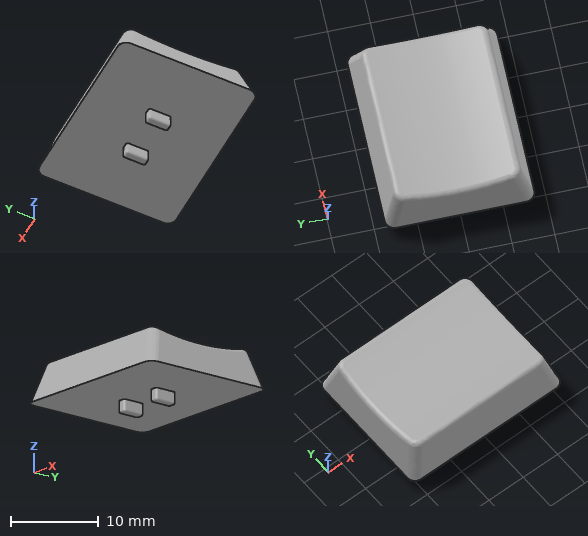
import cadquery as cq
import math

length = 22.0
width = 17.5
leg_height = 1.5
wall_draft = 16.0
corner_radius = 1.2
rim_radius = 0.65

dish_radius = 28.6
dish_bottom = 4.05

leg_spacing = 5.68
leg_length = 1.1
leg_width = 2.85
leg_corner_radius = 0.29
leg_tip_radius = 0.29

blank_height = 5.95


def tapered_blank():
    inset = blank_height * math.tan(math.radians(wall_draft))
    blank = (
        cq.Workplane("XY")
        .rect(length, width)
        .workplane(offset=blank_height)
        .rect(length - 2 * inset, width - 2 * inset)
        .loft(ruled=True)
    )
    corner_edges = blank.edges("not(|X or |Y)")
    return corner_edges.fillet(corner_radius)


def dish_cutter():
    return (
        cq.Workplane("YZ")
        .center(0, dish_bottom + dish_radius)
        .circle(dish_radius)
        .extrude(length / 2, both=True)
    )


def legs():
    leg = (
        cq.Workplane("XY")
        .rect(leg_length, leg_width)
        .extrude(-leg_height)
        .edges("|Z")
        .fillet(leg_corner_radius)
        .faces("<Z")
        .edges()
        .fillet(leg_tip_radius)
    )
    pair = leg.translate((-leg_spacing / 2, 0, 0))
    return pair.union(leg.translate((leg_spacing / 2, 0, 0)))


def rounded_rim(cap):
    dish_face = cap.faces(cq.selectors.NearestToPointSelector((0, 0, dish_bottom)))
    return dish_face.edges().fillet(rim_radius)


cap = rounded_rim(tapered_blank().cut(dish_cutter()))
result = cap.union(legs())